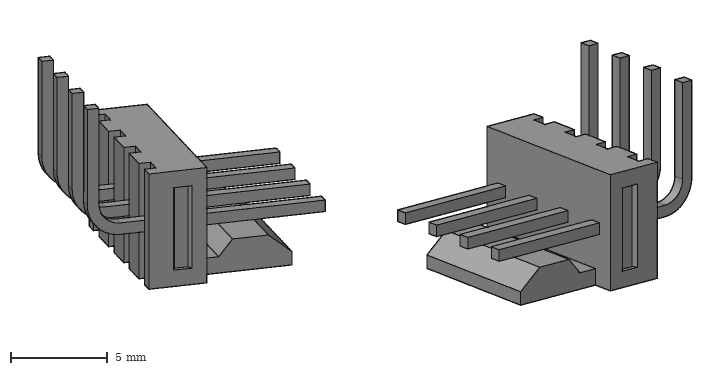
import cadquery as cq


housing_width = 10.01
housing_depth = 3.15
housing_height = 6.35

pin_count = 4
pin_pitch = 2.53
pin_size = 0.63
pin_bottom = 2.86
pin_mating_length = 6.72
overall_length = 12.93
overall_height = 9.93
bend_outer_radius = 1.81
pin_positions = [(i - (pin_count - 1) / 2) * pin_pitch for i in range(pin_count)]

channel_width = 0.9
channel_depth = 0.63

latch_width = (pin_count - 1) * pin_pitch
latch_length = 5.02
latch_neck_length = 1.03
latch_top_start = 1.78
latch_top_end = 3.74
latch_neck_height = 0.9
latch_top_height = 1.8
latch_tip_height = 0.74

pocket_width = 1.02
pocket_height = 4.54
pocket_depth = 0.26
pocket_side_inset = 0.14
pocket_back_offset = 0.8


def extrude_along_x(profile, x_center, width):
    """Extrude a closed YZ profile symmetrically about x_center."""
    return profile.extrude(width / 2, both=True).translate((x_center, 0, 0))


def make_housing():
    return cq.Workplane("XY").box(
        housing_width, housing_depth, housing_height, centered=(True, False, False)
    )


def make_channel(x_center):
    return cq.Workplane("XY").box(
        channel_width, channel_depth, housing_height, centered=(True, False, False)
    ).translate((x_center, 0, 0))


def make_end_pocket(side):
    """Pocket in the -X (side = -1) or +X (side = 1) end face."""
    x_face = side * housing_width / 2
    x_floor = x_face - side * pocket_depth
    y_back = housing_depth - pocket_back_offset
    y_front = y_back - pocket_width
    z_bottom = (housing_height - pocket_height) / 2
    return (
        cq.Workplane("XY", origin=(0, 0, z_bottom))
        .moveTo(x_face, y_front)
        .lineTo(x_floor, y_front + pocket_side_inset)
        .lineTo(x_floor, y_back - pocket_side_inset)
        .lineTo(x_face, y_back)
        .close()
        .extrude(pocket_height)
    )


def make_latch():
    profile = (
        cq.Workplane("YZ", origin=(0, housing_depth, 0))
        .lineTo(latch_length, 0)
        .lineTo(latch_length, latch_tip_height)
        .lineTo(latch_top_end, latch_top_height)
        .lineTo(latch_top_start, latch_top_height)
        .lineTo(latch_neck_length, latch_neck_height)
        .lineTo(0, latch_neck_height)
        .close()
    )
    return extrude_along_x(profile, 0, latch_width)


def make_pin(x_center):
    y_tip = housing_depth + pin_mating_length
    y_tail = y_tip - overall_length
    pin_top = pin_bottom + pin_size
    bend_inner_radius = bend_outer_radius - pin_size
    bend_y = y_tail + bend_outer_radius
    bend_z = pin_bottom + bend_outer_radius
    profile = (
        cq.Workplane("YZ")
        .moveTo(y_tip, pin_bottom)
        .lineTo(bend_y, pin_bottom)
        .radiusArc((y_tail, bend_z), bend_outer_radius)
        .lineTo(y_tail, overall_height)
        .lineTo(y_tail + pin_size, overall_height)
        .lineTo(y_tail + pin_size, bend_z)
        .radiusArc((bend_y, pin_top), -bend_inner_radius)
        .lineTo(y_tip, pin_top)
        .close()
    )
    return extrude_along_x(profile, x_center, pin_size)


result = make_housing().union(make_latch())
for end_side in (-1, 1):
    result = result.cut(make_end_pocket(end_side))
for pin_x in pin_positions:
    result = result.cut(make_channel(pin_x))
for pin_x in pin_positions:
    result = result.union(make_pin(pin_x))